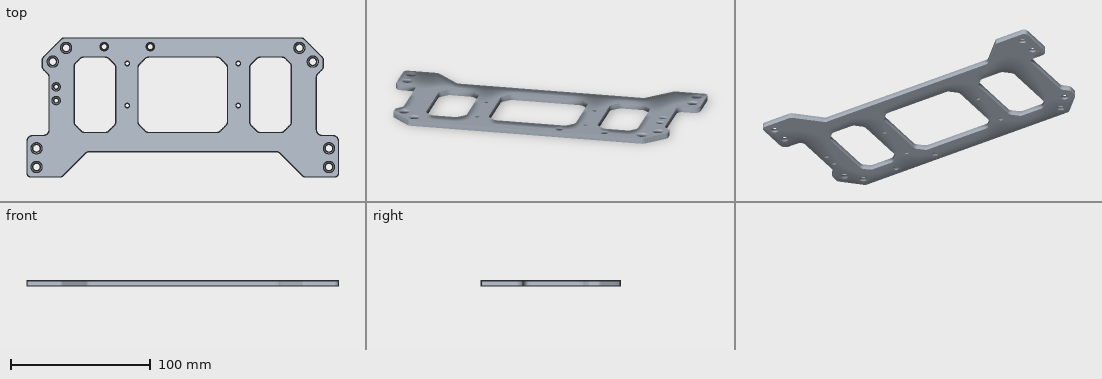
import cadquery as cq

length = 223.5
depth = 100.0
thickness = 4.0
half_length = length / 2
half_depth = depth / 2

corner_radius = 3.0
side_x = 96.0
ear_x = 100.8
ear_height = 7.2
ear_chamfer = 14.8
foot_height = 30.0
foot_tip_radius = 4.5
foot_root_radius = 4.0
front_recess = 18.0
foot_inner_x = 86.8

window_front_y = -17.9
window_back_y = 36.0
center_window_half_width = 32.0
side_window_inner_x = 48.0
side_window_outer_x = 77.8
window_chamfer = 6.0
window_corner_radius = 3.5
window_small_chamfer = 5.1

countersink_angle = 90.0
mount_drill = 5.4
mount_head = 8.0
mount_points = [(104.9, -29.3), (104.9, -42.7), (83.6, 42.7), (93.2, 32.9)]
back_drill = 4.2
back_head = 6.0
back_points = [(-56.3, 43.5), (-23.3, 43.5)]
side_drill = 3.4
side_head = 6.0
side_points = [(-90.8, 14.8), (-90.8, 5.0)]

plain_drill = 3.1
plain_points = [(39.8, 31.5), (39.8, 1.3)]


def mirrored(points):
    """Points together with their reflections in the YZ plane."""
    return points + [(-x, y) for x, y in points]


def round_corners(plate, corners, radius):
    """Fillet the upright edges of the plate that stand at the given XY corners."""
    for x, y in corners:
        nearest = cq.selectors.NearestToPointSelector((x, y, thickness / 2))
        plate = plate.edges("|Z").edges(nearest).fillet(radius)
    return plate


def make_plate():
    ear_top_y = half_depth - ear_chamfer
    ear_bottom_y = ear_top_y - ear_height
    foot_top_y = foot_height - half_depth
    right_side = [
        (ear_x - ear_chamfer, half_depth),
        (ear_x, ear_top_y),
        (ear_x, ear_bottom_y),
        (side_x, ear_bottom_y - (ear_x - side_x)),
        (side_x, foot_top_y),
        (half_length, foot_top_y),
        (half_length, -half_depth),
        (foot_inner_x, -half_depth),
        (foot_inner_x - front_recess, front_recess - half_depth),
    ]
    left_side = [(-x, y) for x, y in reversed(right_side)]
    plate = cq.Workplane("XY").polyline(right_side + left_side).close().extrude(thickness)
    tip_corners = [(half_length, foot_top_y), (-half_length, foot_top_y)]
    root_corners = [(side_x, foot_top_y), (-side_x, foot_top_y)]
    plate = round_corners(plate, tip_corners, foot_tip_radius)
    plate = round_corners(plate, root_corners, foot_root_radius)
    other_corners = [p for p in right_side + left_side if p not in tip_corners + root_corners]
    return round_corners(plate, other_corners, corner_radius)


def window(inner_x, outer_x, outer_back_chamfer):
    """Rectangular cutter with 45 degree corners, running from inner_x to outer_x."""
    c = window_chamfer
    b = outer_back_chamfer
    points = [
        (inner_x + c, window_front_y),
        (outer_x - c, window_front_y),
        (outer_x, window_front_y + c),
        (outer_x, window_back_y - b),
        (outer_x - b, window_back_y),
        (inner_x + c, window_back_y),
        (inner_x, window_back_y - c),
        (inner_x, window_front_y + c),
    ]
    cutter = cq.Workplane("XY").polyline(points).close().extrude(thickness)
    return cutter.edges("|Z").fillet(window_corner_radius)


def countersink(plate, points, drill, head):
    top = plate.faces(">Z").workplane(origin=(0, 0, thickness))
    return top.pushPoints(points).cskHole(drill, head, countersink_angle)


result = make_plate()

side_window = window(side_window_inner_x, side_window_outer_x, window_small_chamfer)
result = result.cut(window(-center_window_half_width, center_window_half_width, window_chamfer))
result = result.cut(side_window)
result = result.cut(side_window.mirror("YZ"))

result = countersink(result, mirrored(mount_points), mount_drill, mount_head)
result = countersink(result, back_points, back_drill, back_head)
result = countersink(result, side_points, side_drill, side_head)

plain_plane = result.faces(">Z").workplane(origin=(0, 0, thickness))
result = plain_plane.pushPoints(mirrored(plain_points)).hole(plain_drill)